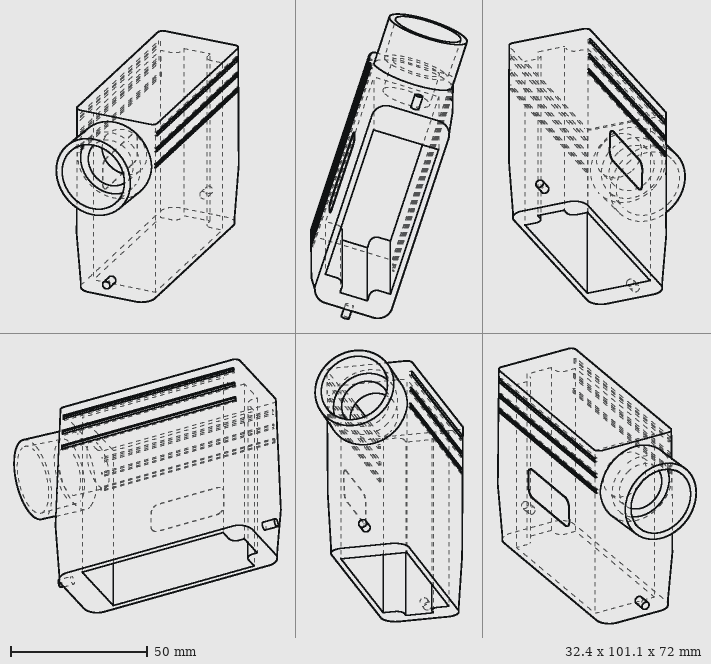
import math

import cadquery as cq

height = 72.0
top_width = 32.4
base_width = 29.5
base_length = 79.0
base_band_height = 2.5
knee_height = 22.5
base_corner_radius = 5.5
upper_corner_radius = 2.1
end_draft = math.radians(3.0)

nozzle_diameter = 30.0
nozzle_bore_diameter = 24.24
nozzle_mouth_diameter = 25.2
nozzle_bore_depth = 15.0
nozzle_hole_diameter = 18.0
nozzle_length = 22.0
nozzle_rim_reach = 56.56
nozzle_rim_height = 55.95

pin_diameter = 3.0
pin_height = 7.0
pin_span = 89.0

groove_count = 3
groove_height = 1.5
groove_pitch = 6.4
groove_top = 68.4
groove_floor_x = 15.2

plate_length = 30.0
plate_height = 12.0
plate_radius = 3.0
plate_center_z = 35.2
plate_depth = 0.2

cavity_width = 25.0
cavity_length = 58.0
cavity_height = 68.0
channel_width = 10.5
channel_end_y = 34.0
channel_mouth_radius = 2.85

top_length = base_length - 2 * (height - knee_height) * math.tan(end_draft)
side_slope = (top_width - base_width) / 2 / (height - base_band_height)


def half_width_at(z):
    """Half width of the hood at height z, above the base band."""
    return base_width / 2 + (z - base_band_height) * side_slope


def half_length_at(z):
    """Half length of the hood at height z, above the knee."""
    return base_length / 2 - (z - knee_height) * math.tan(end_draft)


def rounded_outline(width, length, radius, z):
    """Rounded rectangle at height z."""
    return cq.Sketch().rect(width, length).vertices().fillet(radius).moved(cq.Location(cq.Vector(0, 0, z)))


def ruled_section(lower, upper):
    """Straight-sided solid between two (width, length, radius, z) outlines."""
    outlines = [rounded_outline(*lower), rounded_outline(*upper)]
    return cq.Workplane("XY").placeSketch(*outlines).loft(ruled=True)


def make_shell():
    """Base band, lower section with narrowing corners, and drafted upper section."""
    knee_width = 2 * half_width_at(knee_height)
    bottom = (base_width, base_length, base_corner_radius, 0)
    band = (base_width, base_length, base_corner_radius, base_band_height)
    knee = (knee_width, base_length, upper_corner_radius, knee_height)
    top = (top_width, top_length, upper_corner_radius, height)
    return ruled_section(bottom, band).union(ruled_section(band, knee)).union(ruled_section(knee, top))


def nozzle_axis():
    """Centre of the nozzle rim and the inward direction of the nozzle axis."""
    rim_y = -nozzle_rim_reach + nozzle_diameter / 2 * math.sin(end_draft)
    rim_center = cq.Vector(0, rim_y, nozzle_rim_height)
    inward = cq.Vector(0, math.cos(end_draft), -math.sin(end_draft))
    return rim_center, inward


def nozzle_cylinder(diameter, depth):
    """Cylinder running inwards from the nozzle rim along the nozzle axis."""
    return cq.Workplane(cq.Solid.makeCylinder(diameter / 2, depth, *nozzle_axis()))


def make_nozzle_bore():
    """Slightly tapered bore, widest at the rim, with a flat floor."""
    mouth_radius = nozzle_mouth_diameter / 2
    floor_radius = nozzle_bore_diameter / 2
    return cq.Workplane(cq.Solid.makeCone(mouth_radius, floor_radius, nozzle_bore_depth, *nozzle_axis()))


def make_cavity():
    """Pocket open at the bottom, with a channel whose mouth edges are rounded."""
    room = cq.Workplane("XY").rect(cavity_width, cavity_length).extrude(cavity_height)
    mouth_y = cavity_length / 2
    half_channel = channel_width / 2
    half_mouth = half_channel + channel_mouth_radius
    rounding_end_y = mouth_y + channel_mouth_radius
    bulge = channel_mouth_radius * (1 - math.sqrt(0.5))
    channel = (
        cq.Workplane("XY")
        .moveTo(-half_mouth, mouth_y)
        .threePointArc((-half_channel - bulge, mouth_y + bulge), (-half_channel, rounding_end_y))
        .lineTo(-half_channel, channel_end_y)
        .lineTo(half_channel, channel_end_y)
        .lineTo(half_channel, rounding_end_y)
        .threePointArc((half_channel + bulge, mouth_y + bulge), (half_mouth, mouth_y))
        .close()
        .extrude(cavity_height)
    )
    return room.union(channel)


def make_grooves():
    """Cutters for the grip grooves, ending where the rounded corners begin."""
    cutters = cq.Workplane("XY")
    cutter_width = top_width / 2 - groove_floor_x
    for index in range(groove_count):
        z = groove_top - groove_height / 2 - index * groove_pitch
        length = 2 * (half_length_at(z) - upper_corner_radius)
        for side in (-1, 1):
            x = side * (groove_floor_x + cutter_width / 2)
            cutter = cq.Workplane("XY").box(cutter_width, length, groove_height)
            cutters = cutters.union(cutter.translate((x, 0, z)))
    return cutters


def make_plate_recess():
    """Shallow rounded recess that follows the slope of the -X side."""
    tilt = math.degrees(math.atan(side_slope))
    face_x = -half_width_at(plate_center_z)
    recess = (
        cq.Workplane("YZ")
        .rect(plate_length, plate_height)
        .extrude(plate_depth, both=True)
        .edges("|X")
        .fillet(plate_radius)
    )
    return recess.rotate((0, 0, 0), (0, 1, 0), -tilt).translate((face_x, 0, plate_center_z))


def make_pin(side):
    """Locking pin on one end wall; side is -1 for -Y and 1 for +Y."""
    pin = cq.Workplane("XZ", origin=(0, side * pin_span / 2, pin_height)).circle(pin_diameter / 2)
    return pin.extrude(side * (pin_span - base_length))


hood = make_shell().union(nozzle_cylinder(nozzle_diameter, nozzle_length))
hood = hood.cut(make_cavity())
hood = hood.cut(make_nozzle_bore())
hood = hood.cut(nozzle_cylinder(nozzle_hole_diameter, nozzle_rim_reach))
hood = hood.cut(make_grooves()).cut(make_plate_recess())
for end in (-1, 1):
    hood = hood.union(make_pin(end))

result = hood